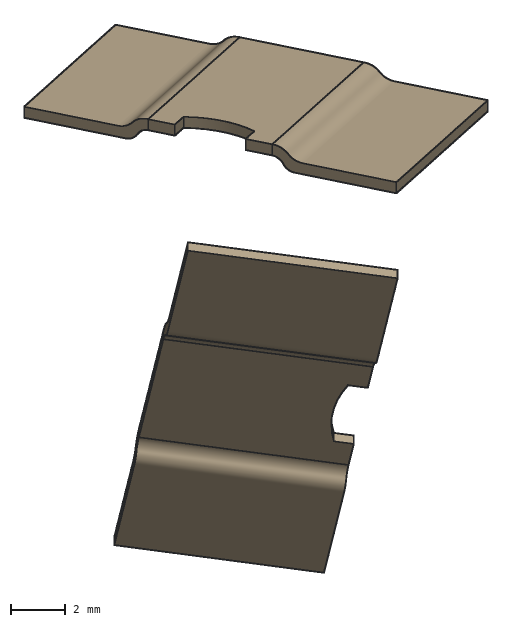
import cadquery as cq

length = 15.0
width = 7.75
height = 0.96
thickness = 0.45

plate_length = 5.0
notch_width = 2.85
notch_side_depth = 0.74
notch_mid_depth = 1.04

top_bend_start = 2.55
top_bend_run = 1.17
bottom_bend_run = 0.9

half_plate = plate_length / 2
half_length = length / 2
front_y = -width / 2
step = height - thickness


def s_bend(outline, run, rise):
    """Continue an outline with two equal tangent arcs, level at both ends."""
    return (
        outline
        .tangentArcPoint((run / 2, rise / 2))
        .tangentArcPoint((run / 2, rise / 2))
    )


def make_centre_plate():
    """Flat raised plate with a round-ended notch in the middle of its front edge."""
    plate = (
        cq.Workplane("XY")
        .box(plate_length, width, thickness, centered=(True, True, False))
        .translate((0, 0, step))
    )
    half_notch = notch_width / 2
    shoulder_y = front_y + notch_side_depth
    notch = (
        cq.Workplane("XY", origin=(0, 0, step))
        .moveTo(-half_notch, front_y)
        .lineTo(half_notch, front_y)
        .lineTo(half_notch, shoulder_y)
        .threePointArc((0, front_y + notch_mid_depth), (-half_notch, shoulder_y))
        .close()
        .extrude(thickness)
    )
    return plate.cut(notch)


def make_wing():
    """Right-hand wing: bends down from the centre plate, then runs flat to the end."""
    outline = (
        cq.Workplane("XZ", origin=(0, width / 2, 0))
        .moveTo(half_plate, height)
        .lineTo(top_bend_start, height)
    )
    outline = s_bend(outline, top_bend_run, -step)
    outline = (
        outline
        .lineTo(half_length, thickness)
        .lineTo(half_length, 0)
        .lineTo(half_plate + bottom_bend_run, 0)
    )
    outline = s_bend(outline, -bottom_bend_run, step)
    return outline.close().extrude(width)


centre_plate = make_centre_plate()

wings = []
for angle in (0, 180):
    wing = make_wing().rotate((0, 0, 0), (0, 0, 1), angle)
    wings.append(wing.val())

result = cq.Compound.makeCompound([centre_plate.val(), *wings])